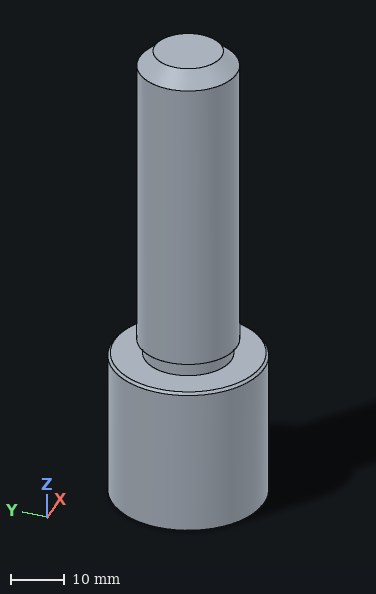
import cadquery as cq

total_length = 95.0
head_diameter = 30.0
head_height = 30.0
head_edge_chamfer = 0.5
neck_diameter = 17.0
neck_length = 3.0
shank_diameter = 19.2
tip_chamfer = 3.0

shank_start = head_height + neck_length
shank_length = total_length - shank_start


def cylinder(diameter, length, base_height):
    """Upright cylinder centred on the Z axis."""
    return cq.Workplane("XY").workplane(offset=base_height).circle(diameter / 2).extrude(length)


head = cylinder(head_diameter, head_height, 0).faces("<Z or >Z").edges().chamfer(head_edge_chamfer)

neck = cylinder(neck_diameter, neck_length, head_height)

shank = cylinder(shank_diameter, shank_length, shank_start).faces(">Z").edges().chamfer(tip_chamfer)

result = head.union(neck).union(shank)